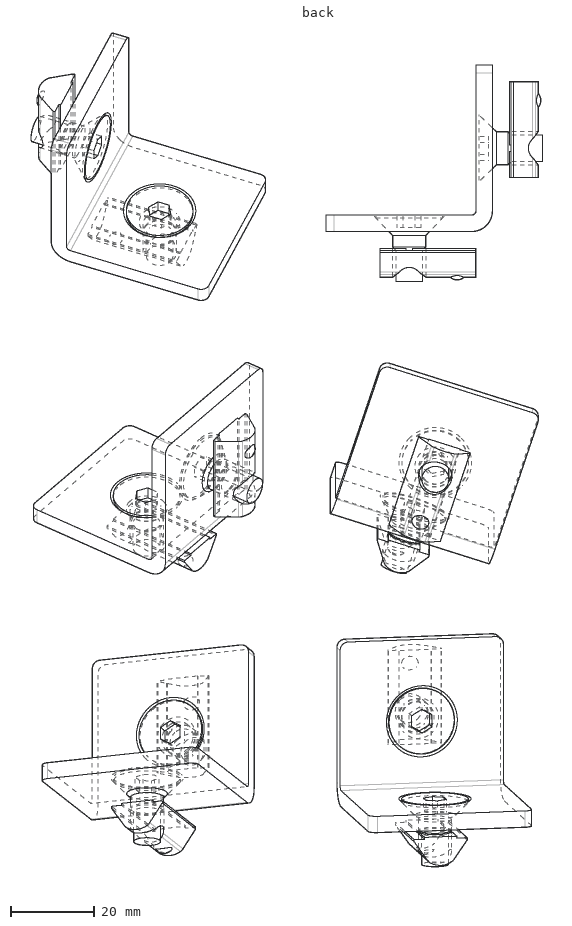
import cadquery as cq
import math

LEG = 40.0
WIDTH = 40.0
THICKNESS = 4.0
INNER_BEND_RADIUS = 1.0
OUTER_BEND_RADIUS = INNER_BEND_RADIUS + THICKNESS
CORNER_RADIUS = 2.0
SCREW_OFFSET = LEG / 2
COUNTERSINK_DIAMETER = 17.35

HEAD_DIAMETER = 16.0
SHANK_DIAMETER = 8.0
TIP_DIAMETER = 6.45
CONE_END = -0.95
SHANK_END = -3.7
TIP_END = -12.0
CONE_SLOPE = (COUNTERSINK_DIAMETER - SHANK_DIAMETER) / 2 / (THICKNESS - CONE_END)
HEAD_TOP = THICKNESS
RIM_BOTTOM = CONE_END + (HEAD_DIAMETER - SHANK_DIAMETER) / 2 / CONE_SLOPE
SHANK_CHAMFER = (SHANK_DIAMETER - TIP_DIAMETER) / 2
SOCKET_ACROSS_FLATS = 5.0
SOCKET_DEPTH = 3.0

NUT_LENGTH = 23.0
NUT_SHORT_END = 7.0
NUT_TOP = -4.0
BOSS_WIDTH = 7.85
BOSS_HEIGHT = 0.45
NUT_WIDTH = 13
SHOULDER_BOTTOM = -5.0
FLANK_END = (3.3, -9.6)
BLEND_MIDDLE = (2.95, -10.0)
BELLY_START = (2.6, -10.25)
NUT_BOTTOM = -10.95
BALL_RADIUS = 2.5
BALL_PROTRUSION = 0.6
BALL_OFFSET = 11.5


def place_on_bottom_leg(body):
    return body.translate((SCREW_OFFSET, 0, 0))


def place_on_upright_leg(body):
    return body.rotate((0, 0, 0), (0, 1, 0), 90).translate((0, 0, SCREW_OFFSET))


def turned(outline):
    """Revolve (radius, Z) points about the Z axis."""
    return cq.Workplane("XZ").polyline(outline).close().revolve(360, (0, 0, 0), (0, 1, 0))


def make_bracket():
    body = (
        cq.Workplane("XZ")
        .polyline([(0, 0), (LEG, 0), (LEG, THICKNESS), (THICKNESS, THICKNESS), (THICKNESS, LEG), (0, LEG)])
        .close()
        .extrude(WIDTH / 2, both=True)
    )
    body = body.edges(cq.NearestToPointSelector((0, 0, 0))).fillet(OUTER_BEND_RADIUS)
    body = body.edges(cq.NearestToPointSelector((THICKNESS, 0, THICKNESS))).fillet(INNER_BEND_RADIUS)
    body = body.faces(">X").edges("|Z").fillet(CORNER_RADIUS)
    body = body.faces(">Z").edges("|X").fillet(CORNER_RADIUS)

    outer_face_radius = SHANK_DIAMETER / 2 - CONE_END * CONE_SLOPE
    countersink = turned([
        (0, 0),
        (outer_face_radius, 0),
        (COUNTERSINK_DIAMETER / 2, THICKNESS),
        (0, THICKNESS),
    ])
    return body.cut(place_on_bottom_leg(countersink)).cut(place_on_upright_leg(countersink))


def make_screw():
    body = turned([
        (0, HEAD_TOP),
        (HEAD_DIAMETER / 2, HEAD_TOP),
        (HEAD_DIAMETER / 2, RIM_BOTTOM),
        (SHANK_DIAMETER / 2, CONE_END),
        (SHANK_DIAMETER / 2, SHANK_END),
        (TIP_DIAMETER / 2, SHANK_END - SHANK_CHAMFER),
        (TIP_DIAMETER / 2, TIP_END),
        (0, TIP_END),
    ])
    across_corners = SOCKET_ACROSS_FLATS / math.cos(math.pi / 6)
    socket = (
        cq.Workplane("XY", origin=(0, 0, HEAD_TOP))
        .polygon(6, across_corners)
        .extrude(-SOCKET_DEPTH)
    )
    return body.cut(socket)


def make_nut():
    def opposite(point):
        return (-point[0], point[1])

    shoulder_top = NUT_TOP - BOSS_HEIGHT
    body = (
        cq.Workplane("YZ", origin=(NUT_SHORT_END - NUT_LENGTH, 0, 0))
        .moveTo(-BOSS_WIDTH / 2, NUT_TOP)
        .lineTo(BOSS_WIDTH / 2, NUT_TOP)
        .lineTo(BOSS_WIDTH / 2, shoulder_top)
        .lineTo(NUT_WIDTH / 2, shoulder_top)
        .lineTo(NUT_WIDTH / 2, SHOULDER_BOTTOM)
        .lineTo(*FLANK_END)
        .threePointArc(BLEND_MIDDLE, BELLY_START)
        .threePointArc((0, NUT_BOTTOM), opposite(BELLY_START))
        .threePointArc(opposite(BLEND_MIDDLE), opposite(FLANK_END))
        .lineTo(-NUT_WIDTH / 2, SHOULDER_BOTTOM)
        .lineTo(-NUT_WIDTH / 2, shoulder_top)
        .lineTo(-BOSS_WIDTH / 2, shoulder_top)
        .close()
        .extrude(NUT_LENGTH)
    )
    ball_height = NUT_BOTTOM - BALL_PROTRUSION + BALL_RADIUS
    ball = cq.Workplane("XY").sphere(BALL_RADIUS).translate((-BALL_OFFSET, 0, ball_height))
    body = body.union(ball)

    bore = cq.Workplane("XY").circle(SHANK_DIAMETER / 2).extrude(TIP_END)
    return body.cut(bore)


bracket = make_bracket()
screws = []
nuts = []
for place in (place_on_bottom_leg, place_on_upright_leg):
    screws.append(place(make_screw()).val())
    nuts.append(place(make_nut()).val())

result = cq.Compound.makeCompound([bracket.val(), *screws, *nuts])